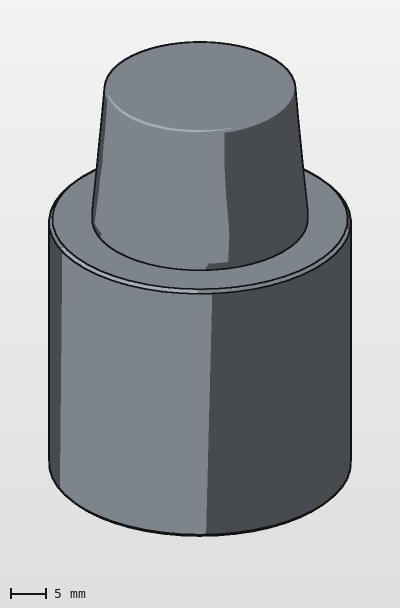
import cadquery as cq

body_radius = 21.0
body_height = 39.0
body_chamfer = 0.5

total_height = 60.0
collar_radius = 15.0
collar_height = 1.0
boss_top_radius = 13.25
boss_fillet = 0.5

body = cq.Workplane("XY").circle(body_radius).extrude(body_height)
body = body.faces("<Z or >Z").chamfer(body_chamfer)

collar_top = body_height + collar_height
boss = (
    cq.Workplane("XZ")
    .moveTo(0, body_height)
    .lineTo(collar_radius, body_height)
    .lineTo(collar_radius, collar_top)
    .lineTo(boss_top_radius, total_height)
    .lineTo(0, total_height)
    .close()
    .revolve(360, (0, 0, 0), (0, 1, 0))
    .faces(">Z")
    .fillet(boss_fillet)
)

result = body.union(boss)